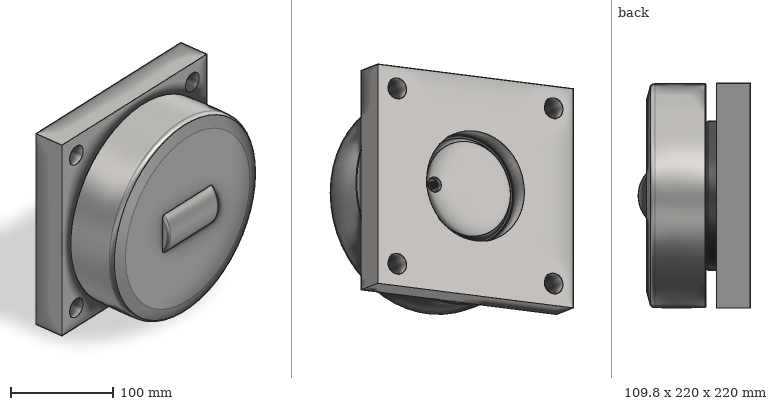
import cadquery as cq

plate_side = 220
plate_thickness = 33.2
bolt_hole_diameter = 20.7
bolt_edge_distance = 22
bolt_spacing = plate_side - 2 * bolt_edge_distance

neck_diameter = 146.0
neck_relief_width = 2.0
neck_relief_depth = 0.9

roller_back = 43.5
roller_front = 101.5
roller_crown_radius = 110
roller_edge_radius = 109.5
back_edge_chamfer = 0.7
front_rounding_start = 93.3
front_rounding_middle = (96.1, 109.0)
front_cone_start = 98.0
front_cone_large_radius = 107.1
front_cone_small_radius = 94.4

overall_depth = 109.8
side_roller_radius = 33
side_roller_length = 76.3
side_roller_fillet = 2.6
side_roller_axis = overall_depth - side_roller_radius

bore_diameter = 110
bore_depth = 21.1
bore_floor_diameter = 108.5
axle_end = 14.3
axle_diameter = 103.8
axle_chamfer_width = 4.6
axle_chamfer_length = 8.0
bore_floor_depth = axle_end + axle_chamfer_length

nipple_offset = 37.8
nipple_hole_diameter = 15.0
nipple_hole_depth = 6.5
nipple_body_diameter = 7.0
nipple_head_diameter = 5.3
nipple_height = 5.7
nipple_head_height = 0.9
nipple_bore_diameter = 3.5
nipple_bore_depth = 2.5


def disc(diameter, start, end):
    """Solid cylinder along X from start to end."""
    return cq.Workplane("YZ").workplane(offset=start).circle(diameter / 2).extrude(end - start)


def make_plate():
    plate = cq.Workplane("YZ").rect(plate_side, plate_side).extrude(plate_thickness)
    bolt_holes = (
        cq.Workplane("YZ")
        .rect(bolt_spacing, bolt_spacing, forConstruction=True)
        .vertices()
        .circle(bolt_hole_diameter / 2)
        .extrude(plate_thickness)
    )
    return plate.cut(bolt_holes)


def make_neck():
    relief_start = roller_back - neck_relief_width
    collar = disc(neck_diameter, plate_thickness, relief_start)
    relief = disc(neck_diameter - 2 * neck_relief_depth, relief_start, roller_back)
    return collar.union(relief)


def make_roller():
    """Crowned roller with a rounded and coned front edge."""
    crown_start = roller_back + back_edge_chamfer
    crown_middle = (crown_start + front_rounding_start) / 2
    profile = (
        cq.Workplane("XY")
        .moveTo(roller_back, 0)
        .lineTo(roller_back, roller_edge_radius - back_edge_chamfer)
        .lineTo(crown_start, roller_edge_radius)
        .threePointArc((crown_middle, roller_crown_radius), (front_rounding_start, roller_edge_radius))
        .threePointArc(front_rounding_middle, (front_cone_start, front_cone_large_radius))
        .lineTo(roller_front, front_cone_small_radius)
        .lineTo(roller_front, 0)
        .close()
    )
    return profile.revolve(360, (0, 0, 0), (1, 0, 0))


def make_side_roller():
    return (
        cq.Workplane("XZ")
        .center(side_roller_axis, 0)
        .circle(side_roller_radius)
        .extrude(side_roller_length / 2, both=True)
        .edges()
        .fillet(side_roller_fillet)
    )


def make_axle():
    """Coned axle end, joined to the plate at the floor of the bore."""
    axle = disc(axle_diameter, axle_end, plate_thickness)
    return axle.faces("<X").chamfer(axle_chamfer_length, axle_chamfer_width)


def cut_nipple_hole(body):
    hole = disc(nipple_hole_diameter, axle_end, axle_end + nipple_hole_depth)
    return body.cut(hole.translate((0, nipple_offset, 0)))


def make_nipple():
    """Stepped grease nipple with a small blind bore in its head."""
    floor = axle_end + nipple_hole_depth
    tip = floor - nipple_height
    shoulder = tip + nipple_head_height
    body = disc(nipple_body_diameter, shoulder, floor)
    head = disc(nipple_head_diameter, tip, shoulder)
    bore = disc(nipple_bore_diameter, tip, tip + nipple_bore_depth)
    return body.union(head).cut(bore).translate((0, nipple_offset, 0))


support_unit = (
    make_plate()
    .union(make_neck())
    .union(make_roller())
    .union(make_side_roller())
    .cut(disc(bore_diameter, 0, bore_depth))
    .cut(disc(bore_floor_diameter, bore_depth, bore_floor_depth))
    .union(make_axle())
)
result = cut_nipple_hole(support_unit).union(make_nipple())